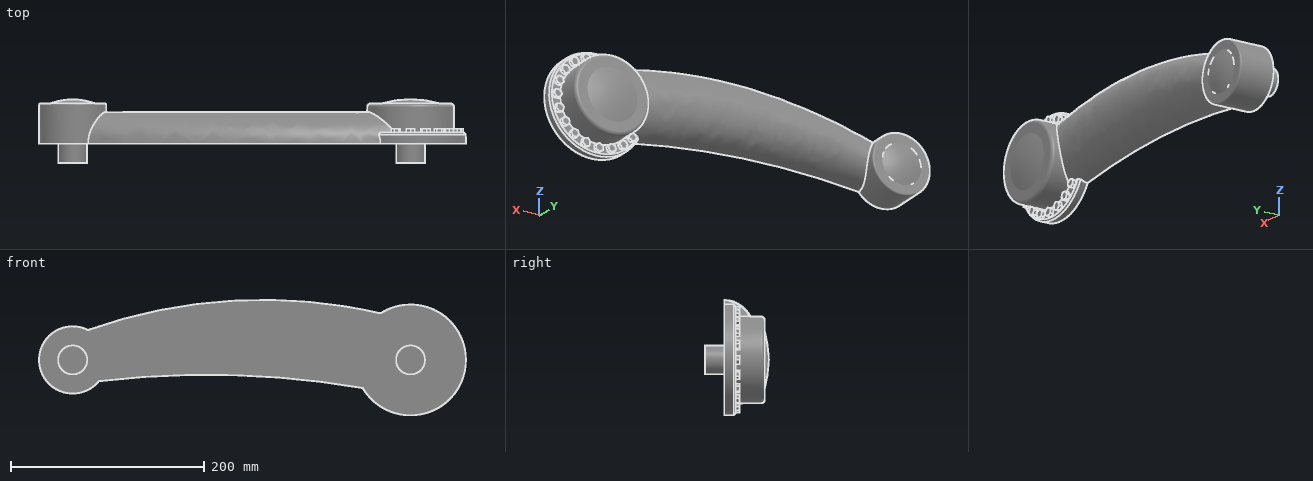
import cadquery as cq
import math


AXIS_DISTANCE = 350.0
HUB_HEIGHT = 42.0
DOME_RISE = 4.5
PIN_RADIUS = 15.0
PIN_LENGTH = 20.0

SMALL_HUB_RADIUS = 35.0
SMALL_RIM_FILLET = 1.8
BIG_HUB_RADIUS = 45.0
BIG_RIM_FILLET = 4.0
DOME_RATIO = 0.67

FLANGE_RADIUS = 57.5
FLANGE_THICKNESS = 12.0
FLANGE_CHAMFER = 2.0
STUD_COUNT = 15
STUD_SPACING = 18
FIRST_STUD_ANGLE = 216
STUD_RING_RADIUS = 50.0
STUD_RADIUS = 5.0
STUD_HEIGHT = 4.0

ARM_HEIGHT = 33.0
ARM_START = 9.0
ARM_SECTIONS = 9
TOP_CREST_X, TOP_CREST_Z, TOP_EDGE_RADIUS = 197.0, 62.5, 540.0
BOTTOM_CREST_X, BOTTOM_CREST_Z, BOTTOM_EDGE_RADIUS = 139.5, -15.5, 951.5


def cylinder(x, radius, y_start, length):
    """Cylinder along +Y on the axis (x, z = 0)."""
    return cq.Workplane("XZ", origin=(x, y_start, 0)).circle(radius).extrude(-length)


def hub(x, radius, rim_fillet):
    """Round hub with a filleted rim and a shallow spherical cap."""
    body = cylinder(x, radius, 0, HUB_HEIGHT).faces(">Y").edges().fillet(rim_fillet)
    base = radius * DOME_RATIO
    sphere_radius = (base**2 + DOME_RISE**2) / (2 * DOME_RISE)
    sphere_y = HUB_HEIGHT + DOME_RISE - sphere_radius
    sphere = cq.Workplane("XY", origin=(x, sphere_y, 0)).sphere(sphere_radius)
    core = cylinder(x, base, HUB_HEIGHT / 2, HUB_HEIGHT)
    return body.union(core.intersect(sphere))


def pin(x):
    return cylinder(x, PIN_RADIUS, -PIN_LENGTH, PIN_LENGTH + HUB_HEIGHT / 2)


def flange():
    """Chamfered disc with the stud ring on its rear face."""
    disc = cylinder(AXIS_DISTANCE, FLANGE_RADIUS, 0, FLANGE_THICKNESS)
    disc = disc.faces(">Y").edges().chamfer(FLANGE_CHAMFER)
    stud_span = STUD_SPACING * (STUD_COUNT - 1)
    studs = (
        cq.Workplane("XZ", origin=(AXIS_DISTANCE, 0, 0))
        .polarArray(STUD_RING_RADIUS, FIRST_STUD_ANGLE, stud_span, STUD_COUNT)
        .polygon(6, 2 * STUD_RADIUS)
        .extrude(-(FLANGE_THICKNESS + STUD_HEIGHT))
    )
    return disc.union(studs)


def edge_height(x, crest_x, crest_z, radius):
    """Height at x of a circular arc whose highest point is the crest."""
    return crest_z - radius + math.sqrt(radius**2 - (x - crest_x)**2)


def arm_section(x):
    """Half-ellipse standing on the front face, in the plane at x."""
    top = edge_height(x, TOP_CREST_X, TOP_CREST_Z, TOP_EDGE_RADIUS)
    bottom = edge_height(x, BOTTOM_CREST_X, BOTTOM_CREST_Z, BOTTOM_EDGE_RADIUS)
    half_width = (top - bottom) / 2
    outline = (
        cq.Workplane("YZ", origin=(x, 0, (top + bottom) / 2))
        .ellipseArc(ARM_HEIGHT, half_width, -90, 90, startAtCurrent=False)
        .close()
    )
    return outline.val()


def arm():
    step = (AXIS_DISTANCE - ARM_START) / (ARM_SECTIONS - 1)
    sections = [arm_section(ARM_START + i * step) for i in range(ARM_SECTIONS)]
    return cq.Workplane(cq.Solid.makeLoft(sections))


result = (
    arm()
    .union(hub(0, SMALL_HUB_RADIUS, SMALL_RIM_FILLET))
    .union(hub(AXIS_DISTANCE, BIG_HUB_RADIUS, BIG_RIM_FILLET))
    .union(flange())
    .union(pin(0))
    .union(pin(AXIS_DISTANCE))
    .clean()
)